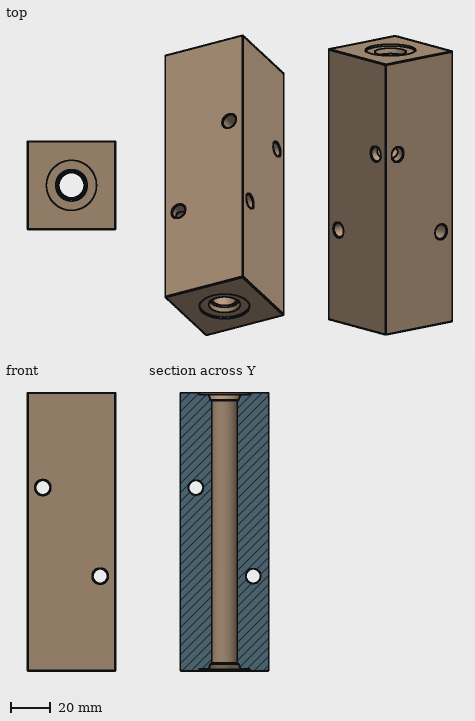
import cadquery as cq

length = 139.7
width = 44.4
edge_chamfer = 0.4

bore_diameter = 12.7
spotface_diameter = 25.1
spotface_depth = 1.0
port_mouth_diameter = 15.8
port_throat_diameter = 14.1
port_depth = 2.5
throat_chamfer_height = 0.7

cross_hole_diameter = 7.3
cross_hole_chamfer = 0.4
cross_hole_offset = 14.4
cross_hole_height = 22.2


def make_block():
    """Square block with all twelve edges broken."""
    return cq.Workplane("XY").box(width, width, length).edges().chamfer(edge_chamfer)


def make_bore():
    """Through bore along Z; each end steps out to a tapered port and a spotface."""
    top = length / 2
    port_top = top - spotface_depth
    port_bottom = port_top - port_depth
    upper_steps = [
        (bore_diameter / 2, port_bottom - throat_chamfer_height),
        (port_throat_diameter / 2, port_bottom),
        (port_mouth_diameter / 2, port_top),
        (spotface_diameter / 2, port_top),
        (spotface_diameter / 2, top),
    ]
    lower_steps = [(radius, -height) for radius, height in reversed(upper_steps)]
    profile = [(0, -top)] + lower_steps + upper_steps + [(0, top)]
    return cq.Workplane("XZ").polyline(profile).close().revolve(360, (0, 0, 0), (0, 1, 0))


def make_cross_hole(offset, height):
    """Through hole along Y, chamfered at both side faces."""
    face = width / 2
    radius = cross_hole_diameter / 2
    mouth_radius = radius + cross_hole_chamfer
    chamfer_end = face - cross_hole_chamfer
    profile = [
        (0, -face),
        (mouth_radius, -face),
        (radius, -chamfer_end),
        (radius, chamfer_end),
        (mouth_radius, face),
        (0, face),
    ]
    hole = cq.Workplane("XY").polyline(profile).close().revolve(360, (0, 0, 0), (0, 1, 0))
    return hole.translate((offset, 0, height))


result = make_block().cut(make_bore())
for side in (-1, 1):
    cross_hole = make_cross_hole(side * cross_hole_offset, -side * cross_hole_height)
    turned_hole = cross_hole.rotate((0, 0, 0), (0, 0, 1), -90)
    result = result.cut(cross_hole).cut(turned_hole)